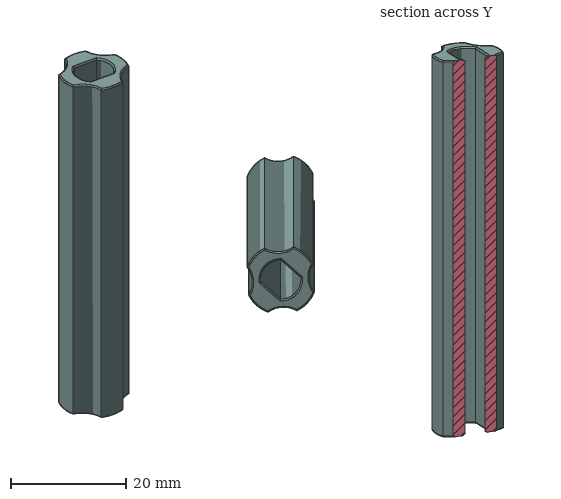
import cadquery as cq
import math

length = 68.75
outer_diameter = 12.5
lobe_half_width = 2.3
flute_depth = 0.75
bore_diameter = 7.0
bore_width = 5.2
end_chamfer = 0.24
bore_chamfer = 0.3

lobe_count = 4
lobe_pitch = 360 / lobe_count
outer_radius = outer_diameter / 2
corner_angle = math.degrees(math.asin(lobe_half_width / outer_radius))
flute_chord_radius = outer_radius * math.cos(math.radians(lobe_pitch / 2 - corner_angle))
flute_bottom_radius = flute_chord_radius - flute_depth
bore_radius = bore_diameter / 2
flat_x = bore_width / 2
flat_half_length = math.sqrt(bore_radius**2 - flat_x**2)


def polar(radius, angle):
    """Point at a radius and an angle in degrees around the axis."""
    return (radius * math.cos(math.radians(angle)), radius * math.sin(math.radians(angle)))


def lobed_body():
    """Shaft with rounded lobes parted by concave flutes, chamfered at both ends."""
    outline = cq.Workplane("XY").moveTo(*polar(outer_radius, -corner_angle))
    for index in range(lobe_count):
        lobe_angle = index * lobe_pitch
        flute_angle = lobe_angle + lobe_pitch / 2
        lobe_end = polar(outer_radius, lobe_angle + corner_angle)
        next_lobe_start = polar(outer_radius, lobe_angle + lobe_pitch - corner_angle)
        outline = outline.threePointArc(polar(outer_radius, lobe_angle), lobe_end)
        outline = outline.threePointArc(polar(flute_bottom_radius, flute_angle), next_lobe_start)
    shaft = outline.close().extrude(length)
    return shaft.faces("<Z or >Z").edges().chamfer(end_chamfer)


def double_d_bore():
    """Through hole: a circle cut by two flats parallel to Y."""
    return (
        cq.Workplane("XY")
        .moveTo(flat_x, -flat_half_length)
        .lineTo(flat_x, flat_half_length)
        .threePointArc((0, bore_radius), (-flat_x, flat_half_length))
        .lineTo(-flat_x, -flat_half_length)
        .threePointArc((0, -bore_radius), (flat_x, -flat_half_length))
        .close()
        .extrude(length)
    )


def chamfer_bore(body):
    """Break the edges of the bore at both ends."""
    margin = bore_chamfer
    corner = cq.Vector(flat_x + margin, bore_radius + margin, length + margin)
    bore_edges = cq.selectors.BoxSelector((-corner.x, -corner.y, -margin), corner.toTuple())
    return body.faces("<Z or >Z").edges(bore_edges).chamfer(bore_chamfer)


result = chamfer_bore(lobed_body().cut(double_d_bore()))